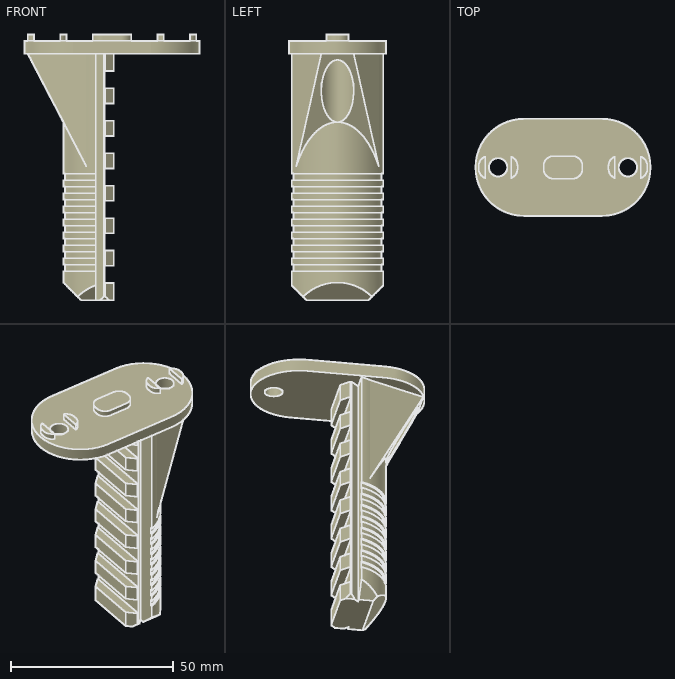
import cadquery as cq
import math

total_height = 82.0
plate_length = 54.0
plate_width = 30.0
plate_thickness = 4.0
key_height = 2.0
grip_height = total_height - plate_thickness - key_height

grip_radius = plate_width / 2
grip_back_x = -5.0
groove_count = 8
groove_depth = 0.5
groove_band_bottom = 9.0
groove_band_height = 30.0
groove_width = groove_band_height / (2 * groove_count - 1)
foot_chamfer = 5.5

wedge_tip_x = -26.0
wedge_tip_width = 10.0
wedge_root_x = -7.95
wedge_height = 34.6
wedge_root_width = 2 * math.sqrt(grip_radius**2 - wedge_root_x**2)

rail_width = 21.3
rail_lip_front_x = -2.55
rail_lip_back_x = -2.05
rail_top_x = 0.6
rail_slot_floor_x = -2.3
rail_slot_width = 5.25
rail_slot_pitch = 10.0
rail_slot_count = 7

hole_diameter = 5.6
hole_offset = 20.0
screw_access_diameter = 10.0
key_length = 12.0
key_width = 7.0
key_corner_radius = 3.0
key_gap = 8.0


def make_grip():
    """Round bar with ring grooves, cut flat at the back."""
    grip = cq.Workplane("XY").circle(grip_radius).extrude(grip_height)
    for i in range(groove_count):
        ring = (
            cq.Workplane("XY", origin=(0, 0, groove_band_bottom + 2 * i * groove_width))
            .circle(grip_radius + groove_depth)
            .circle(grip_radius - groove_depth)
            .extrude(groove_width)
        )
        grip = grip.cut(ring)
    behind_back_face = (
        cq.Workplane("XY", origin=(grip_back_x, 0, 0))
        .rect(plate_length, plate_width, centered=False)
        .extrude(grip_height)
        .translate((0, -plate_width / 2, 0))
    )
    return grip.cut(behind_back_face)


def make_rail():
    """Rail with 45 degree flanks on both sides of its lip, crossed by slots."""
    half_lip = rail_width / 2
    half_neck = half_lip - (rail_lip_front_x - grip_back_x)
    half_top = half_lip - (rail_top_x - rail_lip_back_x)
    rail = (
        cq.Workplane("XY")
        .moveTo(grip_back_x, half_neck)
        .lineTo(rail_lip_front_x, half_lip)
        .lineTo(rail_lip_back_x, half_lip)
        .lineTo(rail_top_x, half_top)
        .lineTo(rail_top_x, 0)
        .lineTo(grip_back_x, 0)
        .close()
        .extrude(grip_height)
    )
    rail = rail.union(rail.mirror("XZ"))
    slot_depth = rail_top_x - rail_slot_floor_x
    for i in range(rail_slot_count):
        slot_z = grip_height / 2 + (i - (rail_slot_count - 1) / 2) * rail_slot_pitch
        slot = cq.Workplane("XY").box(slot_depth, rail_width, rail_slot_width)
        rail = rail.cut(slot.translate((rail_slot_floor_x + slot_depth / 2, 0, slot_z)))
    return rail


def bevel_foot(body):
    """Bevel the bottom at 45 degrees along the front and both sides."""
    corner = [(-grip_radius, 0), (foot_chamfer - grip_radius, 0), (-grip_radius, foot_chamfer)]
    front_bevel = cq.Workplane("XZ").polyline(corner).close().extrude(plate_width / 2, both=True)
    side_bevel = cq.Workplane("YZ").polyline(corner).close().extrude(plate_length / 2, both=True)
    return body.cut(front_bevel).cut(side_bevel).cut(side_bevel.mirror("XZ"))


def make_wedge():
    """Sloped support, narrowing from the grip towards the tip of the plate."""
    slope = (
        cq.Workplane("XZ")
        .polyline([
            (wedge_tip_x, grip_height),
            (wedge_root_x, grip_height),
            (wedge_root_x, grip_height - wedge_height),
        ])
        .close()
        .extrude(plate_width / 2, both=True)
    )
    taper = (
        cq.Workplane("XY")
        .polyline([
            (wedge_tip_x, -wedge_tip_width / 2),
            (wedge_root_x, -wedge_root_width / 2),
            (wedge_root_x, wedge_root_width / 2),
            (wedge_tip_x, wedge_tip_width / 2),
        ])
        .close()
        .extrude(grip_height)
    )
    screw_access = (
        cq.Workplane("XY")
        .center(-hole_offset, 0)
        .circle(screw_access_diameter / 2)
        .extrude(grip_height)
    )
    return slope.intersect(taper).cut(screw_access)


def make_plate():
    """Plate with round ends and two screw holes."""
    return (
        cq.Workplane("XY", origin=(0, 0, grip_height))
        .slot2D(plate_length, plate_width)
        .extrude(plate_thickness)
        .faces(">Z")
        .workplane()
        .pushPoints([(-hole_offset, 0), (hole_offset, 0)])
        .hole(hole_diameter)
    )


def make_key():
    """Raised block with rounded corners, centred on the plate."""
    return (
        cq.Workplane("XY", origin=(0, 0, grip_height + plate_thickness))
        .rect(key_length, key_width)
        .extrude(key_height)
        .edges("|Z")
        .fillet(key_corner_radius)
    )


key = make_key()
split_key = key.cut(cq.Workplane("XY").rect(key_gap, key_width).extrude(total_height))

handle = bevel_foot(make_grip().union(make_rail()))
result = handle.union(make_wedge()).union(make_plate()).union(key)
for hole_x in (-hole_offset, hole_offset):
    result = result.union(split_key.translate((hole_x, 0, 0)))